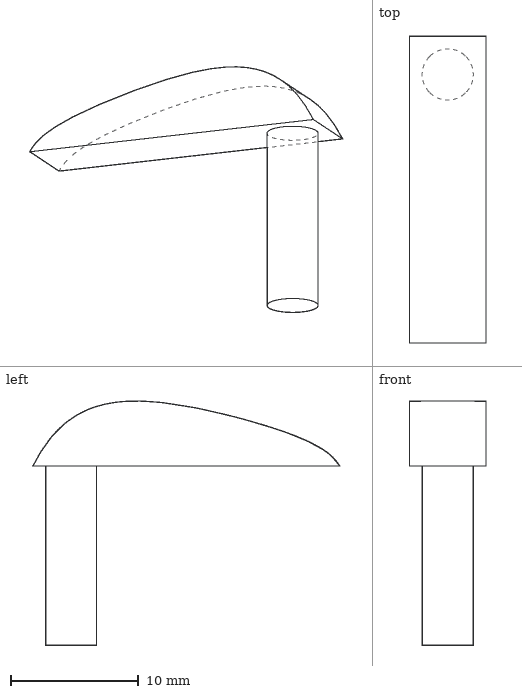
import cadquery as cq

head_width = 6.0
head_length = 24.0

post_diameter = 4.0
post_length = 14.0
post_inset = 3.0

rise_inset = 1.65
rise_height = 3.25
crest_inset = 5.59
crest_height = 9.07
slope_inset = 11.79
slope_height = 3.42
nose_inset = 21.88
nose_height = 3.8

tall_end_y = post_inset
toe_y = tall_end_y - head_length


def make_head():
    """Head resting on Z = 0, centred on X, with a smooth curve over the top."""
    top_control_points = [
        (tall_end_y, 0),
        (tall_end_y - rise_inset, rise_height),
        (tall_end_y - crest_inset, crest_height),
        (tall_end_y - slope_inset, slope_height),
        (tall_end_y - nose_inset, nose_height),
        (toe_y, 0),
    ]
    return (
        cq.Workplane("YZ", origin=(-head_width / 2, 0, 0))
        .moveTo(tall_end_y, 0)
        .bezier(top_control_points)
        .close()
        .extrude(head_width)
    )


def make_post():
    """Round post hanging down from the flat underside of the head."""
    return cq.Workplane("XY").circle(post_diameter / 2).extrude(-post_length)


result = make_head().union(make_post())